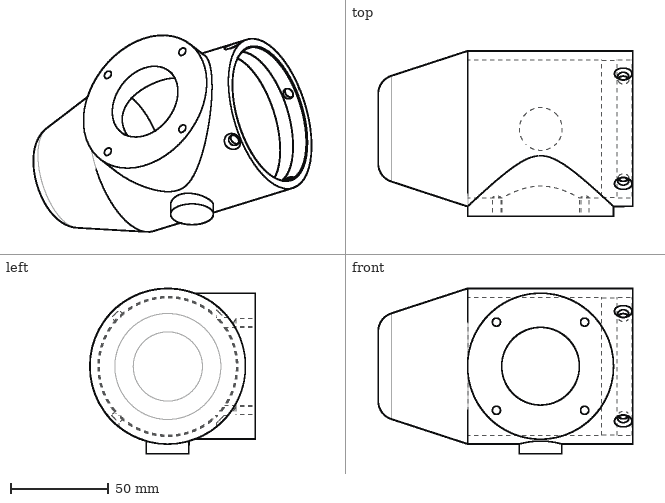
import cadquery as cq
import math

total_length = 131.0
nose_length = 46.0
body_radius = 80.0 / 2
nose_tip_radius = 50.0 / 2
nose_fillet = 10.0

bore_diameter = 71.0
land_diameter = 70.5
land_start = 16.2
land_end = 8.4
mouth_chamfer = 0.5

flange_diameter = 75.0
flange_bore_diameter = 40.0
stub_diameter = 22.0
branch_reach = 45.0
branch_x = nose_length + flange_diameter / 2

flange_hole_diameter = 4.2
flange_hole_spacing = 45.3
flange_hole_depth = 10.0
drill_point_angle = 118

radial_hole_diameter = 5.5
countersink_diameter = 9.0
countersink_angle = 90
radial_hole_inset = 5.0
radial_hole_count = 4


def axial_cylinder(diameter, x_start, x_end):
    return cq.Workplane("YZ", origin=(x_start, 0, 0)).circle(diameter / 2).extrude(x_end - x_start)


def make_body():
    profile = [
        (0, 0),
        (0, nose_tip_radius),
        (nose_length, body_radius),
        (total_length, body_radius),
        (total_length, 0),
    ]
    body = cq.Workplane("XY").polyline(profile).close().revolve(360, (0, 0, 0), (1, 0, 0))
    return body.faces("<X").edges().fillet(nose_fillet)


def flange_plane():
    return cq.Workplane("XZ", origin=(branch_x, -branch_reach, 0))


def make_interior():
    land_x_start = total_length - land_start
    land_x_end = total_length - land_end
    chamber = axial_cylinder(bore_diameter, nose_length, land_x_start)
    land = axial_cylinder(land_diameter, land_x_start, land_x_end)
    mouth = axial_cylinder(bore_diameter, land_x_end, total_length)
    return chamber.union(land).union(mouth)


def make_mouth_chamfer():
    """Cone that widens the bore at the open end."""
    bore_radius = bore_diameter / 2
    profile = [
        (total_length - mouth_chamfer, 0),
        (total_length - mouth_chamfer, bore_radius),
        (total_length, bore_radius + mouth_chamfer),
        (total_length, 0),
    ]
    return cq.Workplane("XY").polyline(profile).close().revolve(360, (0, 0, 0), (1, 0, 0))


def flange_holes():
    """Blind screw holes with the conical bottom left by a drill."""
    corners = flange_plane().rect(flange_hole_spacing, flange_hole_spacing, forConstruction=True).vertices()
    hole_radius = flange_hole_diameter / 2
    tip_depth = flange_hole_depth + hole_radius / math.tan(math.radians(drill_point_angle / 2))
    profile = [
        (0, 0),
        (hole_radius, 0),
        (hole_radius, -flange_hole_depth),
        (0, -tip_depth),
    ]
    drill = cq.Workplane("XZ").polyline(profile).close().revolve(360, (0, 0, 0), (0, 1, 0)).val()
    return corners.eachpoint(lambda place: drill.moved(place), useLocalCoordinates=True)


def radial_hole(angle):
    """Countersunk hole through the wall, turned about the body axis from +Z."""
    hole_x = total_length - radial_hole_inset
    hole_radius = radial_hole_diameter / 2
    mouth_radius = countersink_diameter / 2
    cone_depth = (mouth_radius - hole_radius) / math.tan(math.radians(countersink_angle / 2))
    profile = [
        (0, 0),
        (hole_radius, 0),
        (hole_radius, body_radius - cone_depth),
        (mouth_radius, body_radius),
        (0, body_radius),
    ]
    cutter = cq.Workplane("XZ").polyline(profile).close().revolve(360, (0, 0, 0), (0, 1, 0))
    return cutter.translate((hole_x, 0, 0)).rotate((0, 0, 0), (1, 0, 0), angle)


flange = flange_plane().circle(flange_diameter / 2).extrude(-branch_reach)
flange_bore = flange_plane().circle(flange_bore_diameter / 2).extrude(-branch_reach)
stub = (
    cq.Workplane("XY", origin=(branch_x, 0, -branch_reach))
    .circle(stub_diameter / 2)
    .extrude(branch_reach)
)

result = make_body().union(flange).union(stub)
result = result.cut(make_interior()).cut(make_mouth_chamfer()).cut(flange_bore).cut(flange_holes())
for index in range(radial_hole_count):
    result = result.cut(radial_hole((index + 0.5) * 360 / radial_hole_count))